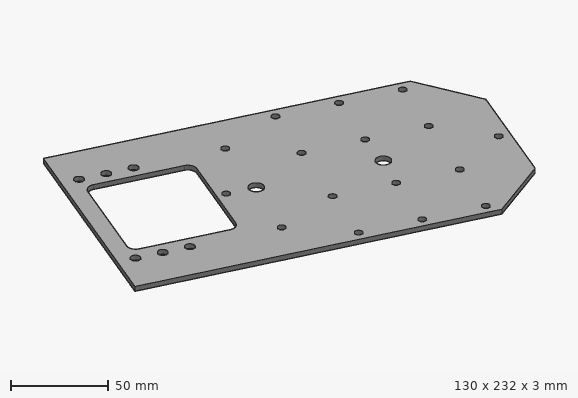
import cadquery as cq

plate_width = 130.0
plate_length = 232.0
plate_thickness = 3.0
corner_cut = 30.0

window_width = 65.0
window_length = 60.0
window_edge_offset = 10.0
window_corner_radius = 5.0

small_diameter = 4.5
side_diameter = 5.5
large_diameter = 8.5

grid_first_row = 125.5
grid_pitch = 35.0
grid_row_count = 3
grid_inner_x = 22.0
grid_outer_x = 59.0

side_x = 40.0
side_first_row = window_edge_offset
side_pitch = 15.0
side_row_count = 3
front_pair_y = grid_first_row - grid_pitch

centre_small_y = [75.5, 225.5]
large_first_y = 92.0
large_pitch = 2 * grid_pitch
centre_large_y = [large_first_y, large_first_y + large_pitch]


def make_plate():
    """Flat plate with both corners of the far end cut at 45 degrees."""
    half_width = plate_width / 2
    shoulder_y = plate_length - corner_cut
    outline = [
        (-half_width, 0),
        (half_width, 0),
        (half_width, shoulder_y),
        (half_width - corner_cut, plate_length),
        (-half_width + corner_cut, plate_length),
        (-half_width, shoulder_y),
    ]
    return cq.Workplane("XY").polyline(outline).close().extrude(plate_thickness)


def make_window():
    """Cutter for the rectangular window with rounded corners."""
    return (
        cq.Workplane("XY")
        .center(0, window_edge_offset + window_length / 2)
        .rect(window_width, window_length)
        .extrude(plate_thickness)
        .edges("|Z")
        .fillet(window_corner_radius)
    )


def make_holes(points, diameter):
    """Cutters for through holes of one diameter."""
    return cq.Workplane("XY").pushPoints(points).circle(diameter / 2).extrude(plate_thickness)


def mirrored_pairs(x, rows):
    """Points at -x and +x on every row."""
    return [(side * x, y) for y in rows for side in (-1, 1)]


grid_rows = [grid_first_row + i * grid_pitch for i in range(grid_row_count)]
side_rows = [side_first_row + i * side_pitch for i in range(side_row_count)]

small_points = mirrored_pairs(grid_inner_x, grid_rows)
small_points += mirrored_pairs(grid_outer_x, grid_rows)
small_points += mirrored_pairs(side_x, [front_pair_y])
small_points += [(0, y) for y in centre_small_y]
side_points = mirrored_pairs(side_x, side_rows)
large_points = [(0, y) for y in centre_large_y]

result = (
    make_plate()
    .cut(make_window())
    .cut(make_holes(small_points, small_diameter))
    .cut(make_holes(side_points, side_diameter))
    .cut(make_holes(large_points, large_diameter))
)